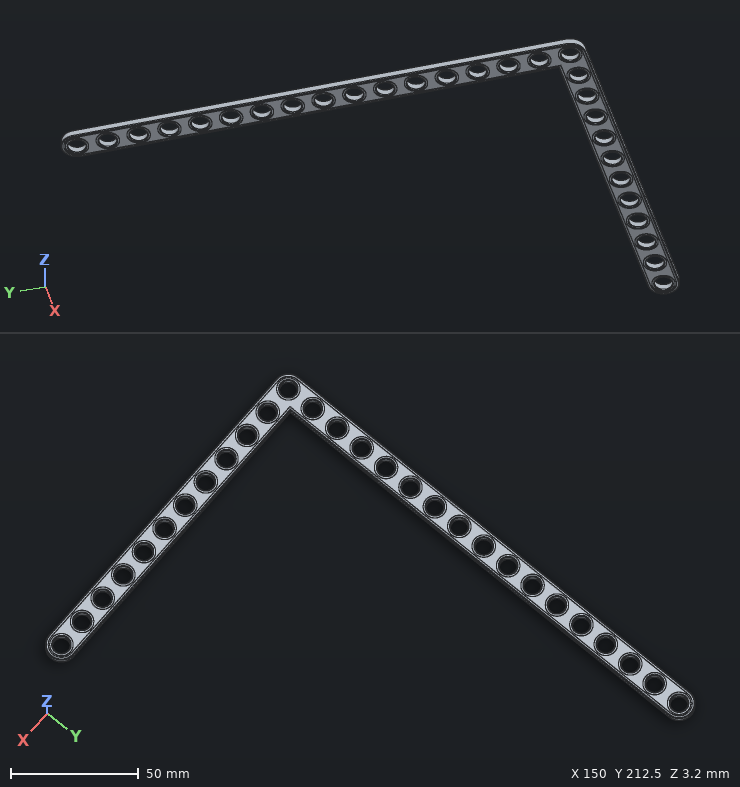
import cadquery as cq

LENGTH_Y = 212.5
HOLES_Y = 17
HOLES_X = 12
THICKNESS = 3.2
HOLE_DIAMETER = 7.0
RIM_WIDTH = 1.08
RECESS_DEPTH = 0.25
EDGE_CHAMFER = 0.32

PITCH = LENGTH_Y / HOLES_Y
RIM_DIAMETER = HOLE_DIAMETER + 2 * RIM_WIDTH


def leg(hole_count, width, height):
    """Round-ended bar along +X with its first hole centre at the origin."""
    hole_span = (hole_count - 1) * PITCH
    outline = cq.Workplane("XY").center(hole_span / 2, 0).slot2D(hole_span + width, width)
    return outline.extrude(height)


def angle_plate(width, height):
    """L-shaped plate of two legs that share the corner hole at the origin."""
    short_leg = leg(HOLES_X, width, height)
    long_leg = leg(HOLES_Y, width, height).rotate((0, 0, 0), (0, 0, 1), 90)
    return long_leg.union(short_leg).clean()


def cylinders(diameter, height):
    """One cylinder at every hole centre of both legs."""
    long_row = [(0, i * PITCH) for i in range(HOLES_Y)]
    short_row = [(i * PITCH, 0) for i in range(1, HOLES_X)]
    return cq.Workplane("XY").pushPoints(long_row + short_row).circle(diameter / 2).extrude(height)


def recess():
    """Shallow floor area inside the outline rim, leaving a ring around each hole."""
    inside = angle_plate(PITCH - 2 * RIM_WIDTH, RECESS_DEPTH)
    return inside.cut(cylinders(RIM_DIAMETER, RECESS_DEPTH))


plate = angle_plate(PITCH, THICKNESS).cut(cylinders(HOLE_DIAMETER, THICKNESS))
plate = plate.faces("<Z or >Z").edges().chamfer(EDGE_CHAMFER)

result = plate
for floor_height in (0, THICKNESS - RECESS_DEPTH):
    result = result.cut(recess().translate((0, 0, floor_height)))